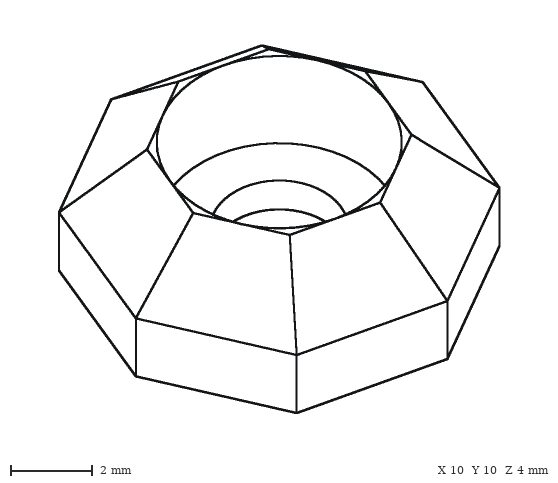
import cadquery as cq
import math

side_count = 8
width_across_flats = 10.0
height = 4.0
chamfer = 2.0

floor_thickness = 1.0
through_diameter = 3.4
pocket_diameter = width_across_flats - 2 * chamfer


def make_body():
    """Octagonal prism with flats facing X and Y, bevelled around the top."""
    half_step = 180.0 / side_count
    width_across_corners = width_across_flats / math.cos(math.radians(half_step))
    prism = (
        cq.Workplane("XY")
        .transformed(rotate=(0, 0, half_step))
        .polygon(side_count, width_across_corners)
        .extrude(height)
    )
    return prism.faces(">Z").chamfer(chamfer)


def make_bore():
    """Through hole opening into a wide flat-bottomed pocket."""
    through_hole = cq.Workplane("XY").circle(through_diameter / 2).extrude(height)
    pocket = (
        cq.Workplane("XY")
        .workplane(offset=floor_thickness)
        .circle(pocket_diameter / 2)
        .extrude(height - floor_thickness)
    )
    return through_hole.union(pocket)


result = make_body().cut(make_bore())